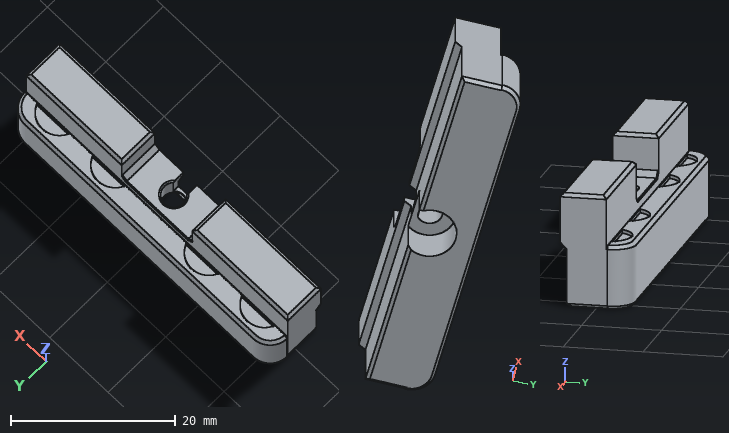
import cadquery as cq
length = 45.0
depth = 8.9
height = 14.35
edge_chamfer = 0.45

bar_length = 44.8
wall_y = 5.8
front_step = 0.85
step_z = 8.15

ledge_z = 8.05
groove_width = 0.15
ledge_front_y = wall_y + groove_width
groove_floor_z = ledge_z - edge_chamfer
corner_radius = depth - ledge_front_y

notch_width = 12.05
notch_z = 9.1
notch_corner = 0.75
notch_rear_chamfer = 0.15

hole_diameter = 3.2
hole_y = 2.9
hole_chamfer = 0.22
hole_floor_z = 5.25
slot_width = 2.3
slot_floor_z = 5.6
recess_diameter = 6.55
recess_top_z = 4.95
web_rear_y = 1.6

pocket_diameter = 6.0
pocket_y = 4.9
pocket_flat_y = 6.08
pocket_depth = 0.45
inner_pocket_x = 8.0
outer_pocket_x = 17.55


def block(x_size, y_min, y_max, z_min, z_max):
    """Rectangular block centred on X = 0."""
    solid = cq.Workplane("XY").box(x_size, y_max - y_min, z_max - z_min, centered=(True, False, False))
    return solid.translate((0, y_min, z_min))


def cylinder(diameter, x, y, z_min, z_max):
    """Upright cylinder."""
    disc = cq.Workplane("XY").workplane(offset=z_min).center(x, y).circle(diameter / 2)
    return disc.extrude(z_max - z_min)


def notch():
    """Central gap in the bar, with sloped lower corners."""
    half = notch_width / 2
    outline = [
        (-half, height),
        (-half, notch_z + notch_corner),
        (-half + notch_corner, notch_z),
        (half - notch_corner, notch_z),
        (half, notch_z + notch_corner),
        (half, height),
    ]
    return cq.Workplane("XZ").polyline(outline).close().extrude(-wall_y)


def front_relief():
    """Material removed below the sloped step of the front face."""
    outline = [(0, 0), (0, step_z), (front_step, step_z - front_step), (front_step, 0)]
    return cq.Workplane("YZ").polyline(outline).close().extrude(length / 2, both=True)


def front_bar():
    """Notched bar with its foot, whose top is the floor of the groove."""
    bar = block(bar_length, 0, wall_y, 0, height).cut(notch()).cut(front_relief())
    bar = bar.faces(">Z").chamfer(edge_chamfer)

    rear_edges = bar.faces(">Y").edges(
        cq.selectors.BoxSelector(
            (-notch_width / 2, 0, notch_z - notch_corner),
            (notch_width / 2, depth, notch_z + notch_corner),
        )
    )
    bar = rear_edges.chamfer(notch_rear_chamfer)

    foot = block(bar_length, front_step, ledge_front_y, 0, groove_floor_z)
    return bar.union(foot).faces("<Z").edges("not >Y").chamfer(edge_chamfer)


def rear_ledge():
    """Low ledge with rounded outer corners and chamfered edges."""
    ledge = block(length, 0, depth, 0, ledge_z)
    ledge = ledge.edges("|Z and >Y").fillet(corner_radius)
    ledge = ledge.faces("<Z or >Z").chamfer(edge_chamfer)
    return ledge.cut(block(length, 0, ledge_front_y, 0, ledge_z))


def screw_cutters():
    """Hole, countersink, front slot, web opening and lower recess."""
    hole = cylinder(hole_diameter, 0, hole_y, hole_floor_z, notch_z)
    countersink = cq.Workplane(
        cq.Solid.makeCone(
            hole_diameter / 2,
            hole_diameter / 2 + hole_chamfer,
            hole_chamfer,
            pnt=cq.Vector(0, hole_y, notch_z - hole_chamfer),
        )
    )
    slot = block(slot_width, 0, hole_y, slot_floor_z, notch_z)
    web_opening = cylinder(hole_diameter, 0, hole_y, recess_top_z, hole_floor_z).intersect(
        block(hole_diameter, web_rear_y, wall_y, recess_top_z, hole_floor_z)
    )
    recess = cylinder(recess_diameter, 0, hole_y, 0, recess_top_z)
    return [hole, countersink, slot, web_opening, recess]


def ledge_pocket(x):
    """Shallow round pocket with a flat side towards the bar."""
    disc = cylinder(pocket_diameter, x, pocket_y, ledge_z - pocket_depth, ledge_z)
    return disc.intersect(block(length, pocket_flat_y, depth, 0, ledge_z))


body = front_bar().union(rear_ledge())

for cutter in screw_cutters():
    body = body.cut(cutter)

for pocket_x in (-outer_pocket_x, -inner_pocket_x, inner_pocket_x, outer_pocket_x):
    body = body.cut(ledge_pocket(pocket_x))

result = body